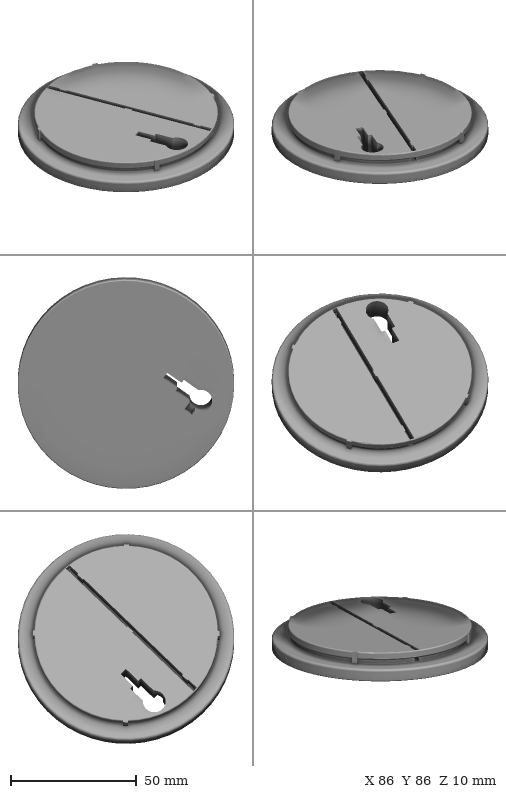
import cadquery as cq
import math

flange_radius = 43.0
flange_height = 5.0
flange_top_round = 1.0
flange_bottom_round = 0.5

total_height = 10.0
lip_radius = 36.5
lip_bottom = 7.0
lip_round = 0.5
lip_corner = lip_radius - lip_round
neck_round = 0.5
neck_radius = lip_corner - neck_round

lug_count = 4
lug_first_angle = 45.0
lug_width = 2.0
lug_outer_radius = 37.0
lug_inner_radius = 34.0

slot_y_min = 2.0
slot_y_max = 4.0
slot_half_length = 36.0
bump_length = 3.0
bump_depth = 0.5
outer_bump_x = 29.5

key_x = 28.0
key_y = -12.0
key_head_radius = 4.5
key_wide_start = 17.5
key_wide_width = 6.0
key_narrow_start = 10.5
key_narrow_width = 3.0

recess_x_min = 24.8
recess_x_max = 28.5
recess_y_max = -5.0
recess_height = 4.5


def box_between(x_min, x_max, y_min, y_max, z_min, z_max):
    """Axis-aligned box given by its limits."""
    size = (x_max - x_min, y_max - y_min, z_max - z_min)
    return cq.Workplane("XY").box(*size, centered=False).translate((x_min, y_min, z_min))


def make_flange():
    flange = cq.Workplane("XY").circle(flange_radius).extrude(flange_height)
    flange = flange.faces(">Z").edges().fillet(flange_top_round)
    return flange.faces("<Z").edges().fillet(flange_bottom_round)


def make_disc():
    """Neck and lip, revolved from their half profile."""
    quarter = math.sqrt(0.5)
    lip_mid = lip_corner + lip_round * quarter
    round_inset = neck_round * (1 - quarter)
    lip_inset = lip_round * (1 - quarter)
    foot_top = flange_height + neck_round
    neck_top = lip_bottom - neck_round
    profile = (
        cq.Workplane("XZ")
        .moveTo(0, flange_height)
        .lineTo(lip_corner, flange_height)
        .threePointArc((neck_radius + round_inset, flange_height + round_inset), (neck_radius, foot_top))
        .lineTo(neck_radius, neck_top)
        .threePointArc((neck_radius + round_inset, lip_bottom - round_inset), (lip_corner, lip_bottom))
        .threePointArc((lip_mid, lip_bottom + lip_inset), (lip_radius, lip_bottom + lip_round))
        .lineTo(lip_radius, total_height - lip_round)
        .threePointArc((lip_mid, total_height - lip_inset), (lip_corner, total_height))
        .lineTo(0, total_height)
        .close()
    )
    return profile.revolve(360, (0, 0, 0), (0, 1, 0))


def make_lugs():
    lugs = cq.Workplane("XY")
    for index in range(lug_count):
        lug = box_between(lug_inner_radius, lug_outer_radius, -lug_width / 2, lug_width / 2,
                          flange_height, total_height)
        angle = lug_first_angle + index * 360 / lug_count
        lugs = lugs.add(lug.rotate((0, 0, 0), (0, 0, 1), angle))
    return lugs.combine()


def make_slot():
    """Slot void, closed at both ends by the lip and notched by the bumps."""
    length_limit = cq.Workplane("XY").circle(slot_half_length).extrude(total_height)
    slot = box_between(-slot_half_length, slot_half_length, slot_y_min, slot_y_max,
                       flange_height, total_height).intersect(length_limit)
    bumps = (
        (-outer_bump_x, slot_y_max - bump_depth),
        (outer_bump_x, slot_y_max - bump_depth),
        (0, slot_y_min),
    )
    for x, y in bumps:
        slot = slot.cut(box_between(x - bump_length / 2, x + bump_length / 2, y, y + bump_depth,
                                    flange_height, total_height))
    return slot


def make_keyhole():
    head = cq.Workplane("XY").center(key_x, key_y).circle(key_head_radius).extrude(total_height)
    wide = box_between(key_wide_start, key_x, key_y - key_wide_width / 2, key_y + key_wide_width / 2,
                       0, total_height)
    narrow = box_between(key_narrow_start, key_x, key_y - key_narrow_width / 2,
                         key_y + key_narrow_width / 2, 0, total_height)
    recess = box_between(recess_x_min, recess_x_max, key_y, recess_y_max, 0, recess_height)
    return head.union(wide).union(narrow).union(recess)


body = make_flange().union(make_disc()).union(make_lugs())
result = body.cut(make_slot()).cut(make_keyhole())